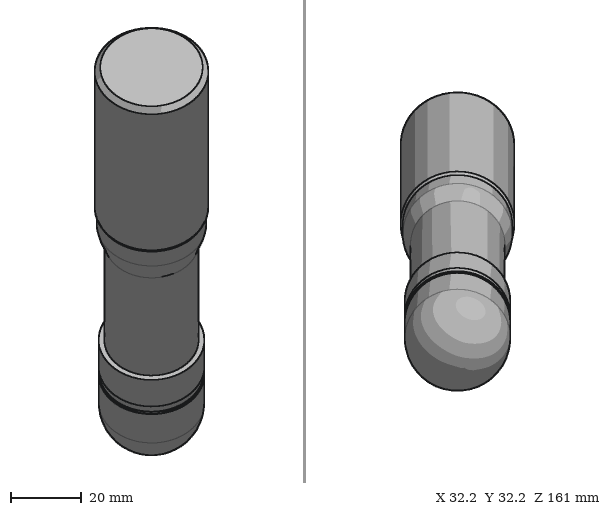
import cadquery as cq
import math

TOTAL_LENGTH = 161.0
SHANK_BOTTOM = 98.9
RELIEF_BOTTOM = 92.7
NECK_TOP = 85.0
SLEEVE_TOP = 42.3
NOSE_TOP = 30.8
GROOVE_TOP = 28.3
GROOVE_BOTTOM = 27.4

SHANK_DIAMETER = 32.2
RELIEF_DIAMETER = 31.0
NECK_DIAMETER = 26.7
HEAD_DIAMETER = 30.0

TOP_CHAMFER = 1.6
BOTTOM_CHAMFER_HEIGHT = 1.3
GROOVE_DEPTH = 0.2
TAPER_BULGE = 0.24

SHANK_RADIUS = SHANK_DIAMETER / 2
RELIEF_RADIUS = RELIEF_DIAMETER / 2
NECK_RADIUS = NECK_DIAMETER / 2
HEAD_RADIUS = HEAD_DIAMETER / 2


def revolve_about_z(profile):
    """Turn a closed radius-height profile around the Z axis."""
    return profile.close().revolve(360, (0, 0, 0), (0, 1, 0))


def make_holder():
    """Chamfered shank, relief step, rounded taper and slim neck in one turned body."""
    taper_middle = (
        (RELIEF_RADIUS + NECK_RADIUS) / 2 + TAPER_BULGE,
        (RELIEF_BOTTOM + NECK_TOP) / 2,
    )
    profile = (
        cq.Workplane("XZ")
        .moveTo(0, NOSE_TOP)
        .lineTo(NECK_RADIUS, NOSE_TOP)
        .lineTo(NECK_RADIUS, NECK_TOP)
        .threePointArc(taper_middle, (RELIEF_RADIUS, RELIEF_BOTTOM))
        .lineTo(RELIEF_RADIUS, SHANK_BOTTOM)
        .lineTo(SHANK_RADIUS, SHANK_BOTTOM + BOTTOM_CHAMFER_HEIGHT)
        .lineTo(SHANK_RADIUS, TOTAL_LENGTH - TOP_CHAMFER)
        .lineTo(SHANK_RADIUS - TOP_CHAMFER, TOTAL_LENGTH)
        .lineTo(0, TOTAL_LENGTH)
    )
    return revolve_about_z(profile)


def make_sleeve():
    """Ring around the lower end of the neck."""
    return (
        cq.Workplane("XY", origin=(0, 0, NOSE_TOP))
        .circle(HEAD_RADIUS)
        .circle(NECK_RADIUS)
        .extrude(SLEEVE_TOP - NOSE_TOP)
    )


def make_nose():
    """Ball-ended cap with a shallow groove near its flat top."""
    diagonal = HEAD_RADIUS * math.sqrt(0.5)
    groove_radius = HEAD_RADIUS - GROOVE_DEPTH
    profile = (
        cq.Workplane("XZ")
        .moveTo(0, 0)
        .threePointArc((diagonal, HEAD_RADIUS - diagonal), (HEAD_RADIUS, HEAD_RADIUS))
        .lineTo(HEAD_RADIUS, GROOVE_BOTTOM)
        .lineTo(groove_radius, GROOVE_BOTTOM)
        .lineTo(groove_radius, GROOVE_TOP)
        .lineTo(HEAD_RADIUS, GROOVE_TOP)
        .lineTo(HEAD_RADIUS, NOSE_TOP)
        .lineTo(0, NOSE_TOP)
    )
    return revolve_about_z(profile)


holder = make_holder()
sleeve = make_sleeve()
nose = make_nose()

result = cq.Compound.makeCompound([holder.val(), sleeve.val(), nose.val()])